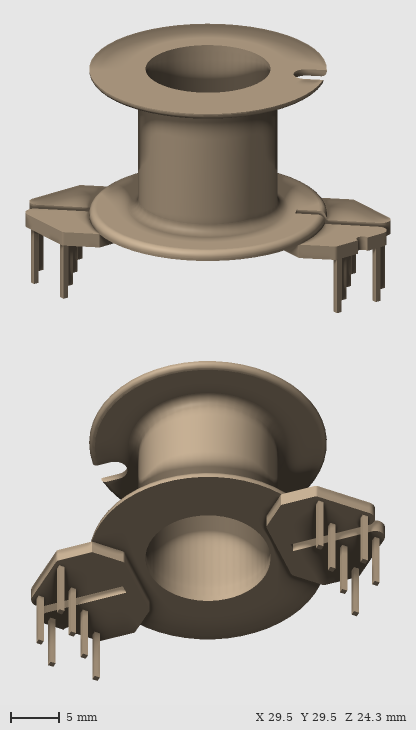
import cadquery as cq
import math

TOTAL_HEIGHT = 24.3
PIN_LENGTH = 6.28
PAD_THICKNESS = 1.5
LOWER_FLANGE_THICKNESS = 1.0
UPPER_FLANGE_THICKNESS = 0.7
PAD_BOTTOM = PIN_LENGTH
LOWER_FLANGE_BOTTOM = PAD_BOTTOM + PAD_THICKNESS
LOWER_FLANGE_TOP = LOWER_FLANGE_BOTTOM + LOWER_FLANGE_THICKNESS
UPPER_FLANGE_BOTTOM = TOTAL_HEIGHT - UPPER_FLANGE_THICKNESS

FLANGE_RADIUS = 12.35
CORE_RADIUS = 14.5 / 2
BORE_RADIUS = 13.0 / 2
CORE_FILLET = 1.0
LOWER_RIM_FILLET = 0.75
UPPER_RIM_FILLET = 0.6
MATCH_TOLERANCE = 0.003

PAD_REACH = 14.75
PAD_HALF_WIDTH = BORE_RADIUS
PAD_CLEARANCE = 2.8
PAD_INNER_DISTANCE = 7.85
PAD_CORNER_RADIUS = 0.4
PAD_TIP_RADIUS = 0.97

SLOT_WIDTH = 1.03
SLOT_START = 9.23
NOTCH_WIDTH = 2.65
NOTCH_START = 9.0

KEY_RADIUS = 0.65
KEY_DEPTH = 0.68
KEY_Y = 9.02

PIN_WIDTH = 0.6
PIN_PITCH = 2.55
PIN_GRID_STEPS = [(5.5, 4.5), (4.5, 3.5), (5.5, 2.5)]

DIAGONAL_ANGLE = 45
CUT_LENGTH = PAD_REACH * 2


def make_spool():
    """Bored core with a flange at each end."""
    core = cq.Workplane("XY").workplane(offset=LOWER_FLANGE_BOTTOM).circle(CORE_RADIUS)
    spool = core.extrude(TOTAL_HEIGHT - LOWER_FLANGE_BOTTOM)
    for bottom, thickness in (
        (LOWER_FLANGE_BOTTOM, LOWER_FLANGE_THICKNESS),
        (UPPER_FLANGE_BOTTOM, UPPER_FLANGE_THICKNESS),
    ):
        flange = cq.Workplane("XY").workplane(offset=bottom).circle(FLANGE_RADIUS)
        spool = spool.union(flange.extrude(thickness))

    def circular_edges(radius, height):
        edges = spool.edges("%CIRCLE").vals()
        return [
            edge for edge in edges
            if abs(edge.radius() - radius) < MATCH_TOLERANCE
            and abs(edge.Center().z - height) < MATCH_TOLERANCE
        ]

    for radius, height, fillet in (
        (FLANGE_RADIUS, LOWER_FLANGE_TOP, LOWER_RIM_FILLET),
        (FLANGE_RADIUS, UPPER_FLANGE_BOTTOM, UPPER_RIM_FILLET),
        (CORE_RADIUS, LOWER_FLANGE_TOP, CORE_FILLET),
        (CORE_RADIUS, UPPER_FLANGE_BOTTOM, CORE_FILLET),
    ):
        spool = spool.newObject(circular_edges(radius, height)).fillet(fillet)

    bore = cq.Workplane("XY").circle(BORE_RADIUS).extrude(TOTAL_HEIGHT)
    return spool.cut(bore)


def diagonal_slot(width, start, bottom, top):
    """Straight slot running outward along the +X+Y diagonal."""
    slot = cq.Workplane("XY").workplane(offset=bottom)
    slot = slot.center(start + CUT_LENGTH / 2, 0).rect(CUT_LENGTH, width).extrude(top - bottom)
    return slot.rotate((0, 0, 0), (0, 0, 1), DIAGONAL_ANGLE)


def make_pad():
    """Slotted pad in the +X+Y corner, made of a +X and a +Y wing."""
    side_shift = PAD_HALF_WIDTH * math.sqrt(2)
    inner_corner = (PAD_INNER_DISTANCE * math.sqrt(2) - PAD_CLEARANCE, PAD_CLEARANCE)
    side_inner = (PAD_CLEARANCE + side_shift, PAD_CLEARANCE)
    side_outer = (PAD_REACH, PAD_REACH - side_shift)
    half = [inner_corner, side_inner, side_outer]
    mirrored_half = [(y, x) for x, y in reversed(half)]
    outline = half + [(PAD_REACH, PAD_REACH)] + mirrored_half
    pad = cq.Workplane("XY").workplane(offset=PAD_BOTTOM).polyline(outline).close()
    pad = pad.extrude(PAD_THICKNESS)
    pad = pad.cut(diagonal_slot(SLOT_WIDTH, SLOT_START, PAD_BOTTOM, LOWER_FLANGE_BOTTOM))

    def fillet_corners(body, corner, radius):
        for x, y in (corner, corner[::-1]):
            nearest = cq.selectors.NearestToPointSelector((x, y, PAD_BOTTOM + PAD_THICKNESS / 2))
            body = body.edges("|Z").edges(nearest).fillet(radius)
        return body

    pad = fillet_corners(pad, inner_corner, PAD_CORNER_RADIUS)
    pad = fillet_corners(pad, side_outer, PAD_CORNER_RADIUS)
    tip = (PAD_REACH, PAD_REACH - SLOT_WIDTH / math.sqrt(2))
    return fillet_corners(pad, tip, PAD_TIP_RADIUS)


def make_pins():
    """Pins under the +X+Y pad, mirrored about the diagonal."""
    places = [(PIN_PITCH * i, PIN_PITCH * j) for i, j in PIN_GRID_STEPS]
    places += [(y, x) for x, y in places]
    return cq.Workplane("XY").pushPoints(places).rect(PIN_WIDTH, PIN_WIDTH).extrude(PIN_LENGTH)


def upper_flange_notch():
    """Round-ended notch through the upper flange only."""
    radius = NOTCH_WIDTH / 2
    centre = NOTCH_START + radius
    notch = diagonal_slot(NOTCH_WIDTH, centre, LOWER_FLANGE_TOP, TOTAL_HEIGHT)
    round_end = cq.Workplane("XY").workplane(offset=LOWER_FLANGE_TOP)
    round_end = round_end.center(centre, 0).circle(radius).extrude(TOTAL_HEIGHT - LOWER_FLANGE_TOP)
    return notch.union(round_end.rotate((0, 0, 0), (0, 0, 1), DIAGONAL_ANGLE))


def key_notch():
    """Round-ended cut in the +X face of the +X wing."""
    centre_x = PAD_REACH - KEY_DEPTH + KEY_RADIUS
    start = cq.Workplane("XY").workplane(offset=PAD_BOTTOM).center(centre_x, KEY_Y)
    round_end = start.circle(KEY_RADIUS).extrude(PAD_THICKNESS)
    mouth = start.center(KEY_RADIUS / 2, 0).rect(KEY_RADIUS, KEY_RADIUS * 2).extrude(PAD_THICKNESS)
    return round_end.union(mouth)


spool = make_spool().cut(upper_flange_notch())
spool = spool.cut(diagonal_slot(SLOT_WIDTH, SLOT_START, LOWER_FLANGE_BOTTOM, LOWER_FLANGE_TOP))

terminal_block = make_pad().union(make_pins())
opposite_block = terminal_block.rotate((0, 0, 0), (0, 0, 1), 180)
result = spool.union(terminal_block.cut(key_notch())).union(opposite_block)